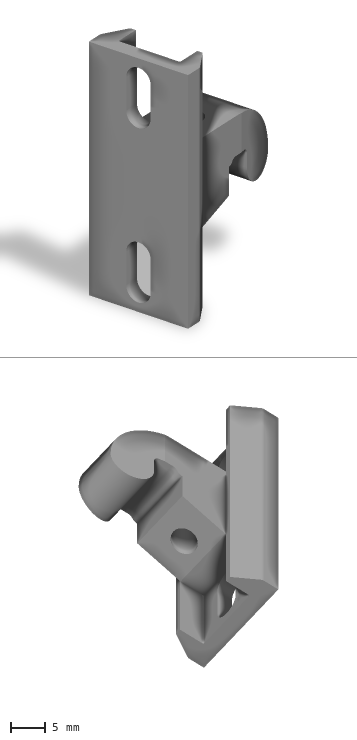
import cadquery as cq
import math

rail_width = 18.0
rail_height = 42.0
rail_depth = 7.0
rail_lip_width = 13.1
rail_shoulder = 2.9
shoulder_radius = 1.0
channel_width = 11.17
channel_floor = 2.7
channel_corner_radius = 0.25

mount_slot_width = 4.4
mount_slot_length = 10.0
mount_slot_offset = 14.45

arm_width = 10.9
arm_top = 6.0
arm_underside = -0.6
arm_foot = -1.65
hook_tip_y = 27.0
hook_radius = 3.53
hook_centre_z = -4.05
taper_start_y = 18.2
hook_tip_width = 7.73
throat_radius = 0.92
foot_length = 1.75

jaw_front_y = 15.0
jaw_front_bottom = -6.45
jaw_rear_bottom = -9.35
tooth_pitch = 0.8
tooth_tip = -0.15
tooth_root = -1.0

screw_slot_width = 4.6
screw_slot_length = 9.45
screw_slot_y = 10.3
screw_hole_diameter = 4.0
screw_hole_y = 10.5


def make_rail():
    """Channel section with sloped flanks, pierced by two mounting slots."""
    outline = [
        (-rail_width / 2, 0),
        (rail_width / 2, 0),
        (rail_width / 2, rail_shoulder),
        (rail_lip_width / 2, rail_depth),
        (-rail_lip_width / 2, rail_depth),
        (-rail_width / 2, rail_shoulder),
    ]
    bar = cq.Workplane("XY").polyline(outline).close().extrude(rail_height / 2, both=True)
    bar = bar.edges("|Z and (<X or >X) and (not <Y)").fillet(shoulder_radius)

    channel_depth = rail_depth - channel_floor
    channel = (
        cq.Workplane("XY")
        .box(channel_width, channel_depth, rail_height, centered=(True, False, True))
        .edges("|Z and <Y")
        .fillet(channel_corner_radius)
        .translate((0, channel_floor, 0))
    )
    mount_slots = (
        cq.Workplane("XZ")
        .pushPoints([(0, -mount_slot_offset), (0, mount_slot_offset)])
        .slot2D(mount_slot_length, mount_slot_width, 90)
        .extrude(-rail_depth)
    )
    return bar.cut(channel).cut(mount_slots)


def tooth_points():
    """Points (y, z) of the serrated joint, from the jaw front to the channel floor."""
    tooth_count = math.floor((jaw_front_y - channel_floor) / tooth_pitch)
    points = [(jaw_front_y, tooth_root)]
    for tooth in range(tooth_count):
        root_y = jaw_front_y - tooth * tooth_pitch
        points.append((root_y - tooth_pitch / 2, tooth_tip))
        points.append((root_y - tooth_pitch, tooth_root))
    points.append((channel_floor, tooth_root))
    return points


def make_arm():
    """Hooked arm, serrated underneath and tapered in width towards the hook."""
    arc_radius = arm_top - hook_centre_z
    arc_centre_y = hook_tip_y - arc_radius
    arc_reach = arc_radius * math.sqrt(0.5)
    hook_centre_y = hook_tip_y - hook_radius
    throat_y = hook_centre_y - hook_radius
    foot_drop = arm_underside - arm_foot
    foot_radius = (foot_length**2 + foot_drop**2) / (4 * foot_drop)

    side = (
        cq.Workplane("YZ")
        .moveTo(channel_floor, arm_top)
        .lineTo(arc_centre_y, arm_top)
        .threePointArc(
            (arc_centre_y + arc_reach, hook_centre_z + arc_reach),
            (hook_tip_y, hook_centre_z),
        )
        .threePointArc(
            (hook_centre_y, hook_centre_z - hook_radius),
            (throat_y, hook_centre_z),
        )
        .lineTo(throat_y, arm_underside - throat_radius)
        .radiusArc((throat_y - throat_radius, arm_underside), -throat_radius)
        .lineTo(jaw_front_y + foot_length, arm_underside)
        .radiusArc(
            (jaw_front_y + foot_length / 2, arm_underside - foot_drop / 2),
            -foot_radius,
        )
        .radiusArc((jaw_front_y, arm_foot), foot_radius)
    )
    for point in tooth_points():
        side = side.lineTo(*point)
    blank = side.close().extrude(arm_width / 2, both=True)

    plan = [
        (-arm_width / 2, channel_floor),
        (arm_width / 2, channel_floor),
        (arm_width / 2, taper_start_y),
        (hook_tip_width / 2, hook_tip_y),
        (-hook_tip_width / 2, hook_tip_y),
        (-arm_width / 2, taper_start_y),
    ]
    plan_prism = cq.Workplane("XY").polyline(plan).close().extrude(rail_height / 2, both=True)
    return blank.intersect(plan_prism)


def make_jaw():
    """Jaw whose top teeth mesh with the arm and whose underside slopes down to the rail."""
    outline = tooth_points() + [
        (channel_floor, jaw_rear_bottom),
        (rail_depth, jaw_rear_bottom),
        (jaw_front_y, jaw_front_bottom),
    ]
    return cq.Workplane("YZ").polyline(outline).close().extrude(arm_width / 2, both=True)


def make_screw_opening():
    """Long slot down through the arm, then a round hole on through the jaw."""
    slot = (
        cq.Workplane("XY", origin=(0, screw_slot_y, arm_foot))
        .slot2D(screw_slot_length, screw_slot_width, 90)
        .extrude(arm_top - arm_foot)
    )
    hole = (
        cq.Workplane("XY", origin=(0, screw_hole_y, jaw_rear_bottom))
        .circle(screw_hole_diameter / 2)
        .extrude(arm_top - jaw_rear_bottom)
    )
    return slot.union(hole)


clamp = make_arm().union(make_jaw(), clean=False)
clamp = clamp.cut(make_screw_opening(), clean=False)
result = make_rail().union(clamp, clean=False)